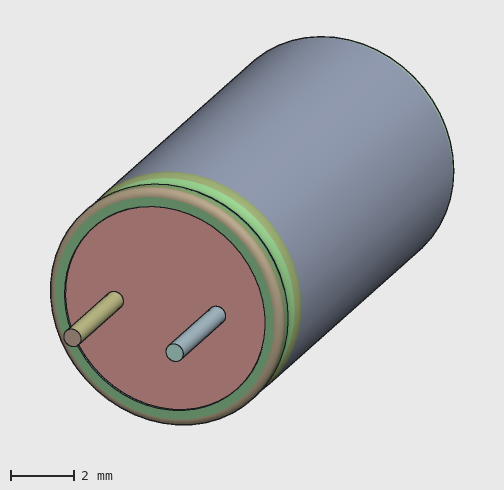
import cadquery as cq
import math

can_diameter = 8.0
can_radius = can_diameter / 2
total_length = 18.5
lead_length = 3.5
can_length = total_length - lead_length
back_edge_radius = 0.5
front_edge_radius = 0.25

groove_center_y = 1.1
groove_half_width = 0.63
groove_radius = 0.5
groove_blend_radius = 0.5

seal_diameter = 6.86
seal_depth = 0.1

lead_diameter = 0.6
lead_spacing = 3.5
lead_embed = 0.18


def arc_point(center, radius, angle):
    """Point on a circle; the angle is measured from the outward radial direction towards +Y."""
    return (center[0] + radius * math.cos(angle), center[1] + radius * math.sin(angle))


def make_can():
    """Revolve the half profile, drawn as (radius, Y), about the Y axis."""
    center_distance = groove_radius + groove_blend_radius
    tangent_angle = math.asin(groove_half_width / center_distance)
    blend_center_radius = can_radius - groove_blend_radius
    groove_center_radius = blend_center_radius + center_distance * math.cos(tangent_angle)

    front_shoulder_y = groove_center_y - groove_half_width
    back_shoulder_y = groove_center_y + groove_half_width
    front_blend = (blend_center_radius, front_shoulder_y)
    back_blend = (blend_center_radius, back_shoulder_y)
    groove_bottom = (groove_center_radius - groove_radius, groove_center_y)

    front_corner = (can_radius - front_edge_radius, front_edge_radius)
    back_corner = (can_radius - back_edge_radius, can_length - back_edge_radius)
    diagonal = math.radians(45)

    profile = (
        cq.Workplane("XY")
        .moveTo(0, 0)
        .lineTo(front_corner[0], 0)
        .threePointArc(
            arc_point(front_corner, front_edge_radius, -diagonal),
            (can_radius, front_edge_radius),
        )
        .lineTo(can_radius, front_shoulder_y)
        .threePointArc(
            arc_point(front_blend, groove_blend_radius, tangent_angle / 2),
            arc_point(front_blend, groove_blend_radius, tangent_angle),
        )
        .threePointArc(
            groove_bottom,
            arc_point(back_blend, groove_blend_radius, -tangent_angle),
        )
        .threePointArc(
            arc_point(back_blend, groove_blend_radius, -tangent_angle / 2),
            (can_radius, back_shoulder_y),
        )
        .lineTo(can_radius, back_corner[1])
        .threePointArc(
            arc_point(back_corner, back_edge_radius, diagonal),
            (back_corner[0], can_length),
        )
        .lineTo(0, can_length)
        .close()
    )
    return profile.revolve(360, (0, 0), (0, 1))


def cylinder_along_y(diameter, start_y, length, x=0):
    """Cylinder running towards +Y from start_y, centered on Z = 0."""
    solid = cq.Solid.makeCylinder(
        diameter / 2, length, cq.Vector(x, start_y, 0), cq.Vector(0, 1, 0)
    )
    return cq.Workplane(obj=solid)


result = make_can().cut(cylinder_along_y(seal_diameter, 0, seal_depth))
for side in (-1, 1):
    lead = cylinder_along_y(
        lead_diameter,
        -lead_length,
        lead_length + seal_depth + lead_embed,
        x=side * lead_spacing / 2,
    )
    result = result.union(lead)